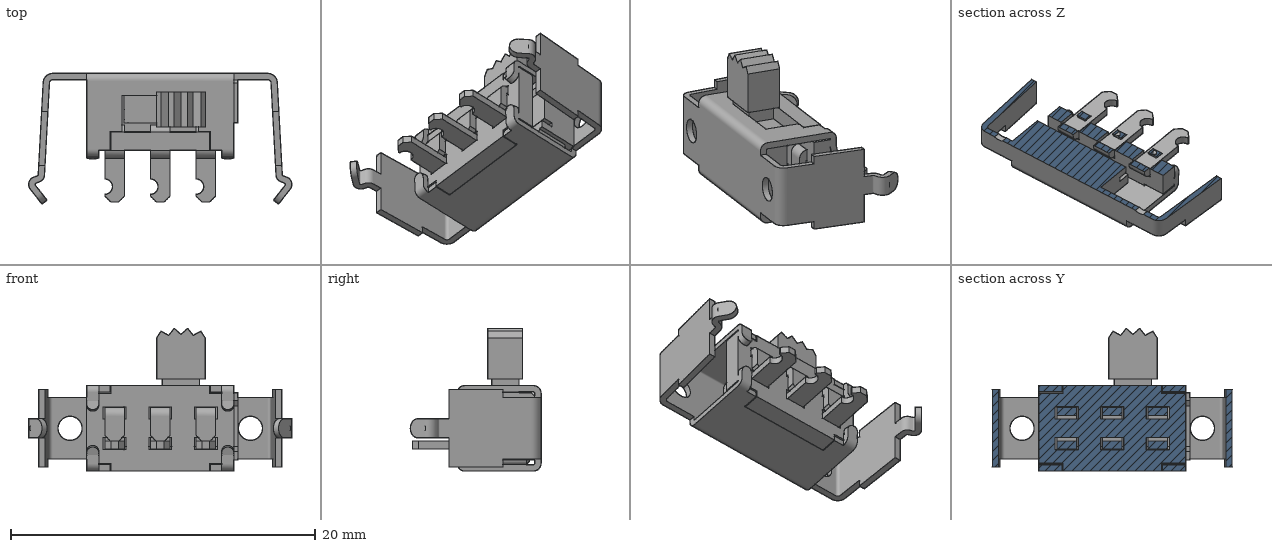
import cadquery as cq
import math


overall_height = 9.40

frame_length = 9.68
frame_height = 5.64
sheet = 0.43
frame_corner_radius = 0.53
plate_front_y = -5.04
half_length = frame_length / 2
half_height = frame_height / 2

slot_half_length = 2.52
slot_back_y = -1.48

tab_width = 0.80
tab_bend_radius = 0.25
tab_flare_z = 1.75
tab_flare_angle = 14
tab_flare_length = 0.19

leg_narrow_half_width = 2.03
leg_wide_half_width = 2.56
leg_wide_start_y = -2.52
leg_wide_end_y = -6.07
leg_root_x = 7.47
leg_lean_angle = 3.1
leg_bend_radius = 0.43
spring_width = 1.27
spring_bend_y = -6.88
spring_bend_radius = 0.30
spring_step_angle = 20
spring_step_length = 0.855
spring_tip_angle = 38
spring_tip_length = 1.03
mounting_hole_diameter = 1.57
mounting_hole_x = 5.93

board_back_y = -3.87
board_front_y = -5.08
board_half_height = 2.30
tongue_half_length = 3.25
tongue_side_clearance = 0.05
tongue_back_clearance = 0.02

terminal_pitch = 3.0
terminal_width = 1.30
terminal_sheet = 0.54
terminal_inner_bend_radius = 0.05
terminal_bend_radius = terminal_sheet / 2 + terminal_inner_bend_radius
terminal_back_y = -3.39
terminal_tip_y = -8.48
terminal_outer_z = 1.37
terminal_taper_top_z = -0.45
terminal_taper_half_width = 0.30
wire_notch_radius = 0.50
wire_notch_y = -7.46
tip_chamfer = 0.40
aperture_width = 1.50
aperture_height = 0.79
aperture_z = 1.015

slider_left_x = -2.38
slider_right_x = 5.10
slider_back_y = -sheet
slider_front_y = -3.27
slider_top_z = 2.34
slider_bottom_z = -2.10
slider_chamfer = 0.22
groove_face_y = -3.05
groove_top_z = 1.83
groove_slope_z = 1.46
groove_step_z = -1.20
groove_bottom_z = -1.53
groove_deep_y = -2.40
runner_back_y = -0.76
runner_chamfer = 0.22
runner_end_radius = 0.25
knob_center_x = (slider_left_x + slider_right_x) / 2
stem_length = 2.46
stem_back_y = -1.46
stem_front_y = -3.26
knob_length = 3.20
knob_back_y = -1.22
knob_front_y = -3.53
knob_bottom_z = 3.23
knob_shoulder_z = 5.95
knob_top_z = overall_height - half_height
center_valley_depth = 0.40
inner_crest_x = 0.44
outer_valley_x = 0.81
outer_valley_depth = 0.46
outer_crest_x = 1.31
outer_crest_depth = 0.19


def box(x0, x1, y0, y1, z0, z1):
    """Axis-aligned block between two opposite corners."""
    return cq.Workplane("XY").box(x1 - x0, y1 - y0, z1 - z0, centered=False).translate((x0, y0, z0))


def mirrored(shape, plane):
    """The shape together with its mirror image."""
    return shape.union(shape.mirror(plane))


def strip_side(points, bend_radius, offset):
    """One side of a bent strip: a start point, then (tangent, middle, tangent) per bend, then an end point."""
    legs = []
    for (x0, y0), (x1, y1) in zip(points, points[1:]):
        length = math.hypot(x1 - x0, y1 - y0)
        legs.append(((x1 - x0) / length, (y1 - y0) / length))
    side = [(points[0][0] - offset * legs[0][1], points[0][1] + offset * legs[0][0])]
    for corner, (ax, ay), (bx, by) in zip(points[1:-1], legs, legs[1:]):
        turn = math.atan2(ax * by - ay * bx, ax * bx + ay * by)
        left = math.copysign(1, turn)
        tangent = bend_radius * math.tan(abs(turn) / 2)
        start = (corner[0] - tangent * ax, corner[1] - tangent * ay)
        center = (start[0] - left * bend_radius * ay, start[1] + left * bend_radius * ax)
        radius = bend_radius - left * offset
        start_angle = math.atan2(start[1] - center[1], start[0] - center[0])
        for angle in (start_angle, start_angle + turn / 2, start_angle + turn):
            side.append((center[0] + radius * math.cos(angle), center[1] + radius * math.sin(angle)))
    side.append((points[-1][0] - offset * legs[-1][1], points[-1][1] + offset * legs[-1][0]))
    return side


def bent_strip(plane, points, bend_radius, thickness, width):
    """Sheet strip following a centreline of straight runs joined by bends, centred on the plane."""
    left_side = strip_side(points, bend_radius, thickness / 2)
    right_side = strip_side(points, bend_radius, -thickness / 2)
    outline = cq.Workplane(plane).workplane(offset=-width / 2).moveTo(*right_side[0])
    for side in (left_side, right_side[::-1]):
        outline = outline.lineTo(*side[0])
        for i in range(1, len(side) - 1, 3):
            outline = outline.lineTo(*side[i]).threePointArc(side[i + 1], side[i + 2])
        outline = outline.lineTo(*side[-1])
    return outline.close().extrude(width)


def round_tip(origin, normal, diameter, thickness):
    """Disc that rounds off the end of a strip."""
    return cq.Workplane(cq.Plane(origin, normal=normal)).circle(diameter / 2).extrude(thickness / 2, both=True)


def make_channel():
    """U-shaped frame body with the slider slot and the openings for the board tongues."""
    channel = box(-half_length, half_length, plate_front_y, 0, -half_height, half_height)
    channel = channel.edges("|X and >Y").fillet(frame_corner_radius)
    inner_z = half_height - sheet
    cavity = box(-half_length, half_length, plate_front_y, -sheet, -inner_z, inner_z)
    cavity = cavity.edges("|X and >Y").fillet(frame_corner_radius - sheet)
    notch_x = tongue_half_length + tongue_side_clearance
    notch_y = board_back_y + tongue_back_clearance
    notches = box(-notch_x, notch_x, plate_front_y, notch_y, -half_height, half_height)
    slot = box(-slot_half_length, slot_half_length, board_back_y, slot_back_y, 0, half_height)
    return channel.cut(cavity).cut(notches).cut(slot)


def make_tabs():
    """Four retaining tabs folded over the board and flared at their round tips."""
    plate_z = half_height - sheet / 2
    fold_y = board_front_y - sheet / 2
    flare = math.radians(tab_flare_angle)
    tip_y = fold_y - tab_flare_length * math.sin(flare)
    tip_z = tab_flare_z - tab_flare_length * math.cos(flare)
    root_y = plate_front_y + frame_corner_radius
    path = [(root_y, plate_z), (fold_y, plate_z), (fold_y, tab_flare_z), (tip_y, tip_z)]
    tab = bent_strip("YZ", path, tab_bend_radius, sheet, tab_width)
    tip_normal = (0, -math.cos(flare), math.sin(flare))
    tab = tab.union(round_tip((0, tip_y, tip_z), tip_normal, tab_width, sheet))
    tab = tab.translate((half_length - tab_width / 2, 0, 0))
    return mirrored(mirrored(tab, "YZ"), "XY")


def make_legs():
    """Two mounting legs with a hole at the root and a round-tipped spring at the free end."""
    middle_y = -sheet / 2
    lean = math.radians(leg_lean_angle)
    step = math.radians(spring_step_angle)
    tip = math.radians(spring_tip_angle)
    bend_x = leg_root_x + (middle_y - spring_bend_y) * math.tan(lean)
    crest_x = bend_x + spring_step_length * math.cos(step)
    crest_y = spring_bend_y - spring_step_length * math.sin(step)
    tip_x = crest_x - spring_tip_length * math.sin(tip)
    tip_y = crest_y - spring_tip_length * math.cos(tip)

    arm_path = [(half_length - sheet, middle_y), (leg_root_x, middle_y), (bend_x, spring_bend_y)]
    spring_path = arm_path[1:] + [(crest_x, crest_y), (tip_x, tip_y)]
    arm = bent_strip("XY", arm_path, leg_bend_radius, sheet, 2 * leg_wide_half_width)
    outline = box(0, 2 * leg_root_x, leg_wide_start_y, 0, -leg_narrow_half_width, leg_narrow_half_width)
    outline = outline.union(
        box(0, 2 * leg_root_x, leg_wide_end_y, leg_wide_start_y, -leg_wide_half_width, leg_wide_half_width)
    )
    arm = arm.intersect(outline)
    spring = bent_strip("XY", spring_path, spring_bend_radius, sheet, spring_width)
    spring = spring.intersect(
        box(0, 2 * leg_root_x, 2 * leg_wide_end_y, leg_wide_end_y, -spring_width, spring_width)
    )
    tip_normal = (math.cos(tip), -math.sin(tip), 0)
    spring = spring.union(round_tip((tip_x, tip_y, 0), tip_normal, spring_width, sheet))
    hole = cq.Workplane("XZ").center(mounting_hole_x, 0).circle(mounting_hole_diameter / 2).extrude(sheet)
    return mirrored(arm.union(spring).cut(hole), "YZ")


def make_board():
    """Insulating board with tongues filling the frame notches and apertures for the terminals."""
    board = box(-half_length, half_length, board_front_y, board_back_y, -board_half_height, board_half_height)
    board = board.union(
        box(-tongue_half_length, tongue_half_length, board_front_y, board_back_y, -half_height, half_height)
    )
    centers = [(i * terminal_pitch, side * aperture_z) for i in (-1, 0, 1) for side in (-1, 1)]
    apertures = cq.Workplane("XZ", origin=(0, board_back_y, 0)).pushPoints(centers)
    return board.cut(apertures.rect(aperture_width, aperture_height).extrude(board_back_y - board_front_y))


def make_terminal():
    """Strip looped through the board, with a pointed fold in front and a notched solder tail."""
    run_z = terminal_outer_z - terminal_sheet / 2
    back_y = terminal_back_y - terminal_sheet / 2
    fold_y = board_front_y - terminal_sheet / 2
    tail_top_z = terminal_sheet / 2 - run_z
    path = [(terminal_tip_y, -run_z), (back_y, -run_z), (back_y, run_z), (fold_y, run_z), (fold_y, tail_top_z)]
    terminal = bent_strip("YZ", path, terminal_bend_radius, terminal_sheet, terminal_width)

    edge_x = terminal_width / 2
    taper = (
        cq.Workplane("XZ", origin=(0, board_front_y, 0))
        .moveTo(edge_x, terminal_taper_top_z)
        .lineTo(edge_x, tail_top_z)
        .lineTo(terminal_taper_half_width, tail_top_z)
        .close()
        .extrude(terminal_sheet)
    )
    terminal = terminal.cut(mirrored(taper, "YZ"))
    notch = cq.Workplane("XY").center(-edge_x, wire_notch_y).circle(wire_notch_radius)
    terminal = terminal.cut(notch.extrude(-terminal_outer_z))
    return terminal.edges("|Z and <Y").chamfer(tip_chamfer)


def make_slider():
    """Sliding carrier with a grooved front, a stem through the slot and a serrated knob."""
    carrier = (
        cq.Workplane("YZ", origin=(slider_left_x, 0, 0))
        .moveTo(slider_back_y, slider_bottom_z)
        .lineTo(slider_back_y, slider_top_z - slider_chamfer)
        .lineTo(slider_back_y - slider_chamfer, slider_top_z)
        .lineTo(slider_front_y, slider_top_z)
        .lineTo(slider_front_y, groove_top_z)
        .lineTo(groove_face_y, groove_slope_z)
        .lineTo(groove_face_y, groove_step_z)
        .lineTo(groove_deep_y, groove_step_z)
        .lineTo(groove_deep_y, groove_bottom_z)
        .lineTo(slider_front_y, groove_bottom_z)
        .lineTo(slider_front_y, slider_bottom_z)
        .close()
        .extrude(slider_right_x - slider_left_x)
    )
    runner = box(
        slider_left_x, half_length, slider_front_y, runner_back_y, sheet - half_height, slider_bottom_z
    )
    runner = runner.edges("|Y and <Z").fillet(runner_end_radius)
    runner = runner.faces(">Y").edges("|X and <Z").chamfer(runner_chamfer)
    stem_x = stem_length / 2
    stem = box(
        knob_center_x - stem_x, knob_center_x + stem_x, stem_front_y, stem_back_y, slider_top_z, knob_bottom_z
    )
    return carrier.union(runner).union(stem).union(make_knob())


def make_knob():
    """Knob block whose top carries four finger serrations."""
    half = knob_length / 2
    right_profile = [
        (0, knob_top_z - center_valley_depth),
        (inner_crest_x, knob_top_z),
        (outer_valley_x, knob_top_z - outer_valley_depth),
        (outer_crest_x, knob_top_z - outer_crest_depth),
        (half, knob_shoulder_z),
        (half, knob_bottom_z),
    ]
    left_profile = [(-x, z) for x, z in reversed(right_profile[1:])]
    outline = cq.Workplane("XZ", origin=(knob_center_x, knob_back_y, 0)).polyline(right_profile + left_profile)
    return outline.close().extrude(knob_back_y - knob_front_y)


result = make_channel().union(make_tabs()).union(make_legs()).union(make_board()).union(make_slider())
for position in (-1, 0, 1):
    result = result.union(make_terminal().translate((position * terminal_pitch, 0, 0)))